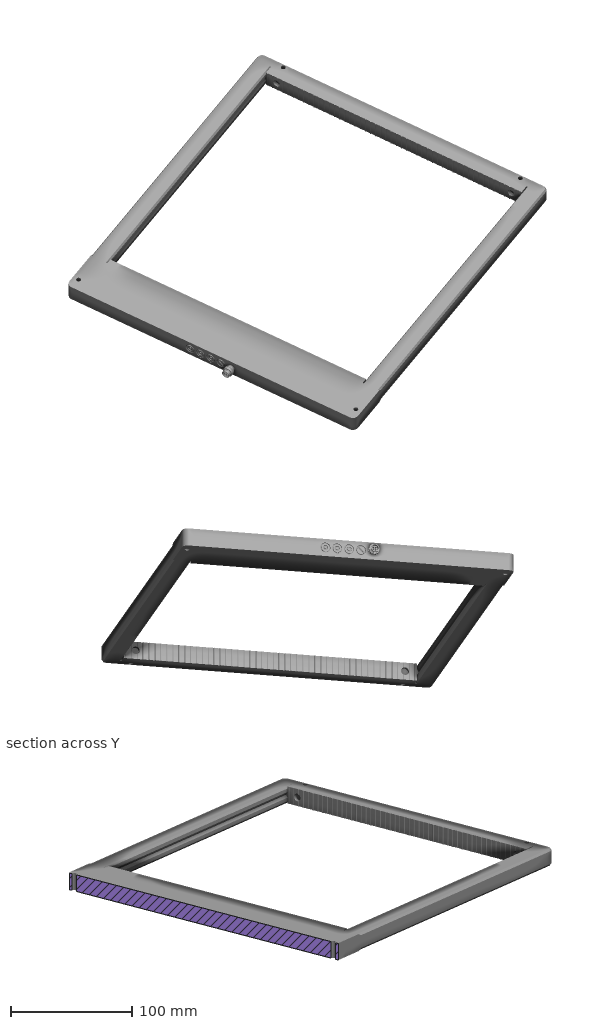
import cadquery as cq
import math

width = 280.0
total_length = 310.0
thickness = 15.0
corner_radius = 5.0

window_width = 248.0
window_front = 42.8
window_back = 285.0

bevel_width = 1.2
bevel_height = 2.0
rail_front = 37.8
bevel_runout = 3.0
rail_back = 292.3

channel_height = 5.0
channel_depth = 1.2

rib_diameter = 1.0
rib_span = 245.0
rib_count = 50
rib_pitch = rib_span / (rib_count - 1)

cross_hole_diameter = 6.5
cross_hole_spacing = 227.5
cross_hole_depth = 3.0

mount_diameter = 4.0
front_mount_spacing = 269.0
front_mount_y = 10.2
back_mount_spacing = 230.0
back_mount_y = 297.3

control_span = 40.0
control_count = 5
control_pitch = control_span / (control_count - 1)
control_depth = 1.0
outer_ring = (8.5, 6.8)
inner_ring = (4.3, 2.0)
indicator_diameter = 1.8
indicator_drop = 4.5
trimmer_diameter = 5.5
trimmer_slot_width = 1.2
trimmer_slot_angle = -45

connector_steps = [
    (6.5, 2.5),
    (8.7, 1.0),
    (8.0, 0.5),
    (8.7, 2.0),
    (6.8, 1.0),
    (6.5, 0.5),
    (6.8, 1.2),
]
connector_length = sum(step for _, step in connector_steps)
socket_diameter = 5.5
socket_depth = 3.0
pin_diameter = 1.0
pin_circle_diameter = 2.8
pin_count = 4
pin_first_angle = 45

length = total_length - connector_length


def plate(plate_width, y_front, y_back, z_low, height):
    return (
        cq.Workplane("XY", origin=(0, (y_front + y_back) / 2, z_low))
        .rect(plate_width, y_back - y_front)
        .extrude(height)
    )


def beveled_outline():
    """Block with rounded corners, beveled on both faces along the sides and the back."""
    block = plate(width, 0, length, -thickness / 2, thickness).edges("|Z").fillet(corner_radius)
    core_height = thickness - 2 * bevel_height
    core = block.intersect(plate(width, 0, length, -core_height / 2, core_height))
    taper = math.degrees(math.atan(bevel_width / bevel_height))
    for side in (1, -1):
        face = core.faces(">Z" if side > 0 else "<Z").wires().toPending()
        core = core.union(face.workplane().extrude(bevel_height, taper=taper, combine=False))
    top = thickness / 2
    shoulder = top - bevel_height
    base = (
        cq.Workplane("YZ", origin=(-width / 2, 0, 0))
        .polyline([
            (0, top),
            (rail_front, top),
            (rail_front + bevel_runout, shoulder),
            (rail_front + bevel_runout, -shoulder),
            (rail_front, -top),
            (0, -top),
        ])
        .close()
        .extrude(width)
    )
    return core.union(base.intersect(block))


def rail_grooves():
    """Right-angled V grooves along the inner edge of each rail, on both faces."""
    inner = window_width / 2
    top = thickness / 2
    grooves = cq.Workplane("XY")
    for x_side in (1, -1):
        for z_side in (1, -1):
            grooves = grooves.union(
                cq.Workplane("XZ", origin=(0, rail_front, 0))
                .polyline([
                    (x_side * inner, z_side * top),
                    (x_side * (inner + bevel_width), z_side * top),
                    (x_side * inner, z_side * (top - bevel_height)),
                ])
                .close()
                .extrude(rail_front - rail_back)
            )
    return grooves


def rail_channels():
    inner = window_width / 2
    channels = cq.Workplane("XY")
    for side in (1, -1):
        channels = channels.union(
            cq.Workplane("XZ", origin=(0, window_front, 0))
            .polyline([
                (side * inner, channel_height / 2),
                (side * (inner + channel_depth), 0),
                (side * inner, -channel_height / 2),
            ])
            .close()
            .extrude(window_front - window_back)
        )
    return channels


def ribs():
    x_first = -rib_span / 2
    places = [(x_first + i * rib_pitch, window_back) for i in range(rib_count)]
    return (
        cq.Workplane("XY", origin=(0, 0, -thickness / 2))
        .pushPoints(places)
        .circle(rib_diameter / 2)
        .extrude(thickness)
    )


def cross_holes():
    return (
        cq.Workplane("XZ", origin=(0, window_back - rib_diameter, 0))
        .pushPoints([(-cross_hole_spacing / 2, 0), (cross_hole_spacing / 2, 0)])
        .circle(cross_hole_diameter / 2)
        .extrude(-(rib_diameter + cross_hole_depth))
    )


def mount_holes():
    front_x = front_mount_spacing / 2
    back_x = back_mount_spacing / 2
    return (
        cq.Workplane("XY", origin=(0, 0, -thickness / 2))
        .pushPoints([
            (-front_x, front_mount_y),
            (front_x, front_mount_y),
            (-back_x, back_mount_y),
            (back_x, back_mount_y),
        ])
        .circle(mount_diameter / 2)
        .extrude(thickness)
    )


control_x = [i * control_pitch - control_span / 2 for i in range(control_count)]
button_x = control_x[:3]
indicator_x = control_x[1:3]
trimmer_x = control_x[3]
connector_x = control_x[4]


def ring_cut(places, ring):
    outer, inner = ring
    return (
        cq.Workplane("XZ")
        .pushPoints(places)
        .circle(outer / 2)
        .circle(inner / 2)
        .extrude(-control_depth)
    )


def control_recesses():
    """Two concentric ring recesses per button, two indicators and a slotted trimmer."""
    buttons = [(x, 0) for x in button_x]
    trimmer = [(trimmer_x, 0)]
    indicators = (
        cq.Workplane("XZ")
        .pushPoints([(x, -indicator_drop) for x in indicator_x])
        .circle(indicator_diameter / 2)
        .extrude(-control_depth)
    )
    trimmer_slot = (
        cq.Workplane("XZ")
        .pushPoints(trimmer)
        .slot2D(trimmer_diameter, trimmer_slot_width, trimmer_slot_angle)
        .extrude(-control_depth)
    )
    return (
        ring_cut(buttons + trimmer, outer_ring)
        .union(ring_cut(buttons, inner_ring))
        .union(indicators)
        .union(trimmer_slot)
    )


def connector():
    """Stepped round plug with a socket in its tip and pins standing in the socket."""
    body = cq.Workplane("XY")
    y = 0
    for diameter, step in connector_steps:
        cylinder = cq.Workplane("XZ", origin=(connector_x, y, 0)).circle(diameter / 2).extrude(step)
        body = body.union(cylinder)
        y -= step
    tip = cq.Workplane("XZ", origin=(connector_x, -connector_length, 0))
    socket = tip.circle(socket_diameter / 2).extrude(-socket_depth)
    pins = (
        tip.polarArray(pin_circle_diameter / 2, pin_first_angle, 360, pin_count)
        .circle(pin_diameter / 2)
        .extrude(-socket_depth)
    )
    return body.cut(socket).union(pins)


window = plate(window_width, window_front, window_back, -thickness / 2, thickness)

result = (
    beveled_outline()
    .cut(window)
    .cut(rail_grooves())
    .cut(rail_channels())
    .union(ribs())
    .cut(cross_holes())
    .cut(mount_holes())
    .cut(control_recesses())
    .union(connector())
)